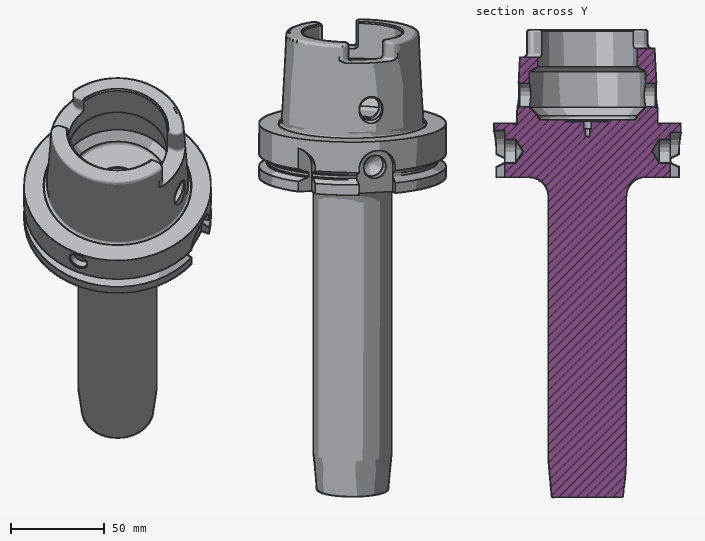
import cadquery as cq
import math


shank_length = 49.9
taper_base_radius = 38.0
taper_slope = 0.05
shank_rim_rounding = 2.0

undercut_radius = 37.7
undercut_top = 3.0
undercut_depth = 0.8
undercut_bevel_height = 1.0
undercut_fillet = 1.5
undercut_outer_bevel = 0.4

flange_radius = 50.0
flange_thickness = 29.0
groove_center_z = -20.0
groove_floor_radius = 45.6
groove_floor_half_width = 1.25
groove_side_angle = 26.0
groove_corner_fillet = 0.8

body_radius = 21.0
body_bottom_z = -200.0
body_fillet = 10.0
nose_length = 20.0
nose_angle = 5.0
nose_end_fillet = 1.0

bore_radius = 26.5
bore_rim_chamfer = 0.8
bore_floor_z = 1.9
bore_floor_fillet = 2.0
clamp_edge_z = 30.0
clamp_angle = 30.0
clamp_radius = 31.0
clamp_bottom_z = 4.0

coolant_thread_radius = 11.1
coolant_thread_depth = 1.0
coolant_hole_radius = 2.0
coolant_pilot_radius = 1.2
coolant_hole_depth = 4.0

drive_slot_half_width = 10.0
drive_slot_floors = {-1: 40.0, 1: 35.3}
drive_slot_mouth_radius = 4.3
drive_slot_floor_fillet = 2.0
drive_slot_edge_fillet = 1.2

access_hole_z = 15.0
access_hole_radius = 6.2
access_hole_chamfer = 1.0

keyway_half_width = 10.0
wide_keyway_half_width = 11.0
keyway_center_z = -15.0
keyway_floor_x = 44.3
keyway_hole_radius = 6.2
keyway_hole_depth = 6.0
drill_point_angle = 118.0
notch_offset = 31.5

chip_z = -6.9
chip_radius = 5.0
chip_depth = 4.6
chip_rim_chamfer = 0.6
chip_center_radius = 0.6
chip_center_depth = 1.0

overcut = 10.0


def taper_radius(z):
    return taper_base_radius - taper_slope * z


def revolve_profile(profile):
    return profile.close().revolve(360, (0, 0, 0), (0, 1, 0))


def make_turned_body():
    side_angle = math.radians(groove_side_angle)
    groove_half_width = groove_floor_half_width + (flange_radius - groove_floor_radius) * math.tan(side_angle)
    corner_setback = groove_corner_fillet * math.tan((math.pi / 2 - side_angle) / 2)
    corner_radius = groove_floor_radius + corner_setback * math.cos(side_angle)
    corner_half_width = groove_floor_half_width + corner_setback * math.sin(side_angle)
    flat_half_width = groove_floor_half_width - corner_setback
    nose_end_radius = body_radius - nose_length * math.tan(math.radians(nose_angle))
    rim_radius = taper_radius(shank_length)
    profile = (
        cq.Workplane("XZ")
        .moveTo(0, shank_length)
        .lineTo(rim_radius - shank_rim_rounding, shank_length)
        .tangentArcPoint((rim_radius, shank_length - shank_rim_rounding), relative=False)
        .lineTo(taper_radius(undercut_top), undercut_top)
        .lineTo(undercut_radius, undercut_top - undercut_bevel_height)
        .lineTo(undercut_radius, undercut_fillet - undercut_depth)
        .tangentArcPoint((undercut_radius + undercut_fillet, -undercut_depth), relative=False)
        .lineTo(undercut_radius + undercut_fillet + undercut_outer_bevel, 0)
        .lineTo(flange_radius, 0)
        .lineTo(flange_radius, groove_center_z + groove_half_width)
        .lineTo(corner_radius, groove_center_z + corner_half_width)
        .tangentArcPoint((groove_floor_radius, groove_center_z + flat_half_width), relative=False)
        .lineTo(groove_floor_radius, groove_center_z - flat_half_width)
        .tangentArcPoint((corner_radius, groove_center_z - corner_half_width), relative=False)
        .lineTo(flange_radius, groove_center_z - groove_half_width)
        .lineTo(flange_radius, -flange_thickness)
        .lineTo(body_radius + body_fillet, -flange_thickness)
        .tangentArcPoint((body_radius, -flange_thickness - body_fillet), relative=False)
        .lineTo(body_radius, body_bottom_z + nose_length)
        .lineTo(nose_end_radius, body_bottom_z + nose_end_fillet)
        .tangentArcPoint((nose_end_radius - nose_end_fillet, body_bottom_z), relative=False)
        .lineTo(0, body_bottom_z)
    )
    return revolve_profile(profile)


def make_drive_slot(side):
    """Slot cutter open at the top; its mouth flares out tangent to the shank at half the slot's height."""
    floor_z = drive_slot_floors[side]
    rim_radius = taper_radius((floor_z + shank_length) / 2)
    flare_center_y = drive_slot_half_width + drive_slot_mouth_radius
    flare_angle = math.asin(flare_center_y / (rim_radius - drive_slot_mouth_radius))
    flare_center_x = (rim_radius - drive_slot_mouth_radius) * math.cos(flare_angle)
    middle_angle = (flare_angle - math.pi / 2) / 2
    flare_middle = (
        flare_center_x + drive_slot_mouth_radius * math.cos(middle_angle),
        flare_center_y + drive_slot_mouth_radius * math.sin(middle_angle),
    )
    flare_end = (rim_radius * math.cos(flare_angle), rim_radius * math.sin(flare_angle))
    outer_radius = rim_radius + overcut
    outer_corner = (outer_radius * math.cos(flare_angle), outer_radius * math.sin(flare_angle))

    def mirrored(point):
        return (point[0], -point[1])

    cutter = (
        cq.Workplane("XY", origin=(0, 0, floor_z))
        .moveTo(0, -drive_slot_half_width)
        .lineTo(flare_center_x, -drive_slot_half_width)
        .threePointArc(mirrored(flare_middle), mirrored(flare_end))
        .lineTo(*mirrored(outer_corner))
        .lineTo(*outer_corner)
        .lineTo(*flare_end)
        .threePointArc(flare_middle, (flare_center_x, drive_slot_half_width))
        .lineTo(0, drive_slot_half_width)
        .close()
        .extrude(shank_length + overcut - floor_z)
        .faces("<Z")
        .edges()
        .fillet(drive_slot_floor_fillet)
    )
    return cutter if side > 0 else cutter.mirror("YZ")


def round_drive_slot_edges(part):
    flat_rim_radius = taper_radius(shank_length) - shank_rim_rounding
    slot_box = cq.selectors.BoxSelector(
        (-flat_rim_radius, -drive_slot_half_width - drive_slot_mouth_radius, shank_length - overcut / 2),
        (flat_rim_radius, drive_slot_half_width + drive_slot_mouth_radius, shank_length + overcut / 2),
    )
    return part.faces(">Z").edges(slot_box).fillet(drive_slot_edge_fillet)


def make_bore():
    clamp_depth = (clamp_radius - bore_radius) * math.tan(math.radians(clamp_angle))
    return_depth = clamp_radius - bore_radius
    profile = (
        cq.Workplane("XZ")
        .moveTo(0, shank_length)
        .lineTo(bore_radius + bore_rim_chamfer, shank_length)
        .lineTo(bore_radius, shank_length - bore_rim_chamfer)
        .lineTo(bore_radius, clamp_edge_z)
        .lineTo(clamp_radius, clamp_edge_z - clamp_depth)
        .lineTo(clamp_radius, clamp_bottom_z + return_depth)
        .lineTo(bore_radius, clamp_bottom_z)
        .lineTo(bore_radius, bore_floor_z + bore_floor_fillet)
        .tangentArcPoint((bore_radius - bore_floor_fillet, bore_floor_z), relative=False)
        .lineTo(0, bore_floor_z)
    )
    return revolve_profile(profile)


def make_coolant_recess():
    floor = cq.Workplane("XY", origin=(0, 0, bore_floor_z))
    thread = floor.circle(coolant_thread_radius).extrude(-coolant_thread_depth)
    hole = floor.circle(coolant_hole_radius).extrude(-coolant_thread_depth - coolant_hole_depth)
    pilot = floor.circle(coolant_pilot_radius).extrude(-coolant_thread_depth - 2 * coolant_hole_depth)
    return thread.union(hole).union(pilot)


def make_cone(start, direction, start_radius, end_radius, length):
    return cq.Workplane(
        cq.Solid.makeCone(start_radius, end_radius, length, pnt=cq.Vector(*start), dir=cq.Vector(*direction))
    )


def make_access_hole():
    """Hole along X through both shank walls, chamfered where it meets the taper."""
    surface_x = taper_radius(access_hole_z)
    mouth_length = access_hole_chamfer * 2
    hole = (
        cq.Workplane("YZ")
        .center(0, access_hole_z)
        .circle(access_hole_radius)
        .extrude(flange_radius, both=True)
    )
    for side in (-1, 1):
        mouth = make_cone(
            (side * (surface_x + access_hole_chamfer), 0, access_hole_z),
            (-side, 0, 0),
            access_hole_radius + mouth_length,
            access_hole_radius,
            mouth_length,
        )
        hole = hole.union(mouth)
    return hole


def make_arched_slot(floor_x, center_y, half_width):
    """Slot on the -X side, open outward and downward, with a round top and its floor at X = floor_x."""
    bottom_z = -flange_thickness - overcut
    return (
        cq.Workplane("YZ", origin=(floor_x, 0, 0))
        .moveTo(center_y + half_width, bottom_z)
        .lineTo(center_y + half_width, keyway_center_z)
        .threePointArc(
            (center_y, keyway_center_z + half_width),
            (center_y - half_width, keyway_center_z),
        )
        .lineTo(center_y - half_width, bottom_z)
        .close()
        .extrude(-flange_radius)
    )


def make_keyway_hole():
    """Drilled blind hole in the floor of the -X keyway."""
    point_length = keyway_hole_radius / math.tan(math.radians(drill_point_angle / 2))
    mouth_x = -keyway_floor_x - overcut
    hole_end_x = -keyway_floor_x + keyway_hole_depth
    return (
        cq.Workplane("XY", origin=(0, 0, keyway_center_z))
        .moveTo(mouth_x, 0)
        .lineTo(mouth_x, keyway_hole_radius)
        .lineTo(hole_end_x, keyway_hole_radius)
        .lineTo(hole_end_x + point_length, 0)
        .close()
        .revolve(360, (0, 0, 0), (1, 0, 0))
    )


def make_chip_pocket():
    """Round pocket on the -Y side with a chamfered rim and a small center hole."""
    outside = cq.Workplane("XZ", origin=(0, -flange_radius, chip_z))
    pocket = outside.circle(chip_radius).extrude(-chip_depth)
    center_hole = outside.circle(chip_center_radius).extrude(-chip_depth - chip_center_depth)
    rim = make_cone(
        (0, -flange_radius, chip_z),
        (0, 1, 0),
        chip_radius + chip_rim_chamfer,
        chip_radius,
        chip_rim_chamfer,
    )
    return pocket.union(center_hole).union(rim)


part = make_turned_body()
for slot_side in drive_slot_floors:
    part = part.cut(make_drive_slot(slot_side))
part = round_drive_slot_edges(part)
part = part.cut(make_bore()).cut(make_coolant_recess()).cut(make_access_hole())
keyway_hole = make_keyway_hole()
part = part.cut(make_arched_slot(-keyway_floor_x, 0, keyway_half_width)).cut(keyway_hole)
wide_keyway = make_arched_slot(-keyway_floor_x, 0, wide_keyway_half_width)
part = part.cut(wide_keyway.mirror("YZ")).cut(keyway_hole.mirror("YZ"))
part = part.cut(make_arched_slot(-notch_offset, notch_offset + keyway_half_width, keyway_half_width))
part = part.cut(make_chip_pocket())
result = cq.Workplane(part.solids().val())